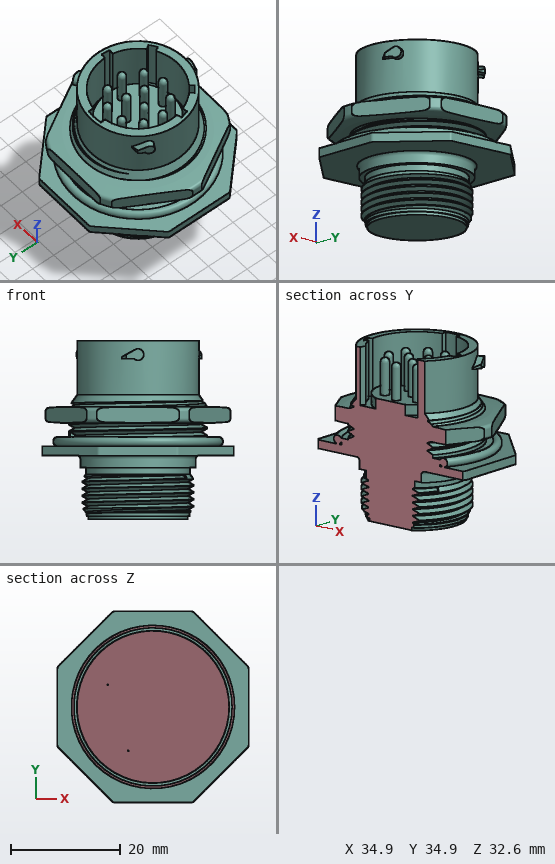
import cadquery as cq
import math


TAIL_TOP_Z = 0.57
REAR_THREAD_START_Z = 1.15
REAR_THREAD_END_Z = 8.2
COLLAR_Z = 9.42
FLANGE_Z = 11.6
FLANGE_THICKNESS = 1.73
FLANGE_TOP_Z = FLANGE_Z + FLANGE_THICKNESS
SHELL_CONE_TOP_Z = 22.66
RIM_Z = 32.55

TAIL_RADIUS = 9.08
REAR_LAND_RADIUS = 9.39
REAR_THREAD_RADIUS = 10.2
REAR_LEAD_IN_LENGTH = 1.0
NECK_RADIUS = 9.51
COLLAR_RADIUS = 10.54
COLLAR_FLARE_RADIUS = 0.75
COLLAR_FLARE_HEIGHT = 0.66

FLANGE_SIDES = 8
FLANGE_ACROSS_FLATS = 34.9
FLANGE_CORNER_RADIUS = 0.7

SEAT_RADIUS = 13.9
SEAT_TOP_Z = 14.6
RING_OUTER_RADIUS = 15.5
RING_SECTION_RADIUS = 0.86
RING_SINK = 0.03

PANEL_THREAD_RADIUS = 12.62
SHELL_RADIUS = 11.12
SHELL_CONE_SLOPE = 0.7

GROOVE_HALF_ANGLE = 30
GROOVE_OVERSHOOT = 0.05
REAR_PITCH = 1.27
REAR_GROOVE_DEPTH = 1.02
REAR_GROOVE_START_Z = 0.946
REAR_GROOVE_START_ANGLE = 135
REAR_GROOVE_TURNS = 5.55
PANEL_PITCH = 1.4
PANEL_GROOVE_DEPTH = 1.06
PANEL_GROOVE_START_Z = 15.27
PANEL_GROOVE_START_ANGLE = 193
PANEL_GROOVE_TURNS = 5.2

NUT_CENTRE_Z = 19.02
NUT_SIDES = 6
NUT_ACROSS_FLATS = 30.24
NUT_FACE_RADIUS = 13.85
NUT_FACE_HALF_HEIGHT = 1.5
NUT_SHOULDER_RADIUS = 16.2
NUT_SHOULDER_HALF_HEIGHT = 1.33
NUT_CORNER_RADIUS = 16.87
NUT_CORNER_HALF_HEIGHT = 0.6
NUT_CORNER_ROUND = 0.72
NUT_BORE_RADIUS = 10.1

BORE_RADIUS = 9.35
INSERT_RADIUS = 8.33
INSERT_FACE_Z = RIM_Z - 9.0
INSERT_STEP = 2.0

KEYWAY_RADIUS = 10.36
MAIN_KEYWAY_WIDTH = 3.35
MINOR_KEYWAY_WIDTH = 1.75
MAIN_KEYWAY_ANGLE = 90
MINOR_KEYWAY_ANGLES = [-5, 195, 230, 305]

PIN_RADIUS = 0.83
PIN_TIP_ROUND = 0.82
PIN_TIP_BELOW_RIM = 2.0
OUTER_PIN_COUNT = 9
OUTER_PIN_CIRCLE_RADIUS = 5.92
OUTER_PIN_START_ANGLE = 270
INNER_PINS = [(1.43, 1.57), (-2.25, 0.41), (0.75, -2.13)]

LUG_COUNT = 3
LUG_Z = 30.0
LUG_HEAD_RADIUS = 1.05
LUG_OUTER_RADIUS = 12.4
LUG_INNER_RADIUS = 10.4
LUG_RAMP_ANGLE = 29
LUG_BASE_DROP = 0.73
LUG_END_X = -2.98
LUG_END_ANGLE = 30


def polar(radius, angle):
    return radius * math.cos(math.radians(angle)), radius * math.sin(math.radians(angle))


def make_body():
    """Turned body with the ring seat, without the flange and the thread grooves."""
    flare_width = COLLAR_FLARE_RADIUS - math.sqrt(COLLAR_FLARE_RADIUS**2 - COLLAR_FLARE_HEIGHT**2)
    cone_height = (PANEL_THREAD_RADIUS - SHELL_RADIUS) / SHELL_CONE_SLOPE
    return (
        cq.Workplane("XZ")
        .moveTo(0, 0)
        .lineTo(TAIL_RADIUS, 0)
        .lineTo(TAIL_RADIUS, TAIL_TOP_Z)
        .lineTo(REAR_LAND_RADIUS, TAIL_TOP_Z)
        .lineTo(REAR_LAND_RADIUS, REAR_THREAD_START_Z)
        .lineTo(REAR_THREAD_RADIUS, REAR_THREAD_START_Z + REAR_LEAD_IN_LENGTH)
        .lineTo(REAR_THREAD_RADIUS, REAR_THREAD_END_Z - REAR_LEAD_IN_LENGTH)
        .lineTo(NECK_RADIUS, REAR_THREAD_END_Z)
        .lineTo(NECK_RADIUS, COLLAR_Z)
        .lineTo(COLLAR_RADIUS, COLLAR_Z)
        .lineTo(COLLAR_RADIUS, FLANGE_Z - COLLAR_FLARE_HEIGHT)
        .radiusArc((COLLAR_RADIUS + flare_width, FLANGE_Z), COLLAR_FLARE_RADIUS)
        .lineTo(SEAT_RADIUS, FLANGE_Z)
        .lineTo(SEAT_RADIUS, SEAT_TOP_Z)
        .lineTo(PANEL_THREAD_RADIUS, SEAT_TOP_Z)
        .lineTo(PANEL_THREAD_RADIUS, SHELL_CONE_TOP_Z - cone_height)
        .lineTo(SHELL_RADIUS, SHELL_CONE_TOP_Z)
        .lineTo(SHELL_RADIUS, RIM_Z)
        .lineTo(0, RIM_Z)
        .close()
        .revolve(360, (0, 0, 0), (0, 1, 0))
    )


def make_groove(crest_radius, depth, pitch, start_z, start_angle, turns):
    """Right-handed helical V groove, to be cut from a cylinder of the crest radius."""
    root_radius = crest_radius - depth
    outside_radius = crest_radius + GROOVE_OVERSHOOT
    half_width = (depth + GROOVE_OVERSHOOT) * math.tan(math.radians(GROOVE_HALF_ANGLE))
    helix = cq.Wire.makeHelix(pitch, pitch * turns, crest_radius)
    return (
        cq.Workplane("XZ")
        .polyline([(root_radius, 0), (outside_radius, -half_width), (outside_radius, half_width)])
        .close()
        .sweep(cq.Workplane(obj=helix), isFrenet=True)
        .rotate((0, 0, 0), (0, 0, 1), start_angle)
        .translate((0, 0, start_z))
    )


def make_flange():
    octagon_diameter = FLANGE_ACROSS_FLATS / math.cos(math.pi / FLANGE_SIDES)
    return (
        cq.Workplane("XY")
        .workplane(offset=FLANGE_Z)
        .transformed(rotate=(0, 0, 180 / FLANGE_SIDES))
        .polygon(FLANGE_SIDES, octagon_diameter)
        .extrude(FLANGE_THICKNESS)
        .edges("|Z")
        .fillet(FLANGE_CORNER_RADIUS)
    )


def make_sealing_ring():
    centre_radius = RING_OUTER_RADIUS - RING_SECTION_RADIUS
    return (
        cq.Workplane("XZ")
        .center(centre_radius, FLANGE_TOP_Z + RING_SECTION_RADIUS - RING_SINK)
        .circle(RING_SECTION_RADIUS)
        .revolve(360, (-centre_radius, 0, 0), (-centre_radius, 1, 0))
    )


def make_nut():
    """Hexagon with coned faces and rounded corners, filled up to the shell inside."""
    turned = (
        cq.Workplane("XZ")
        .moveTo(0, -NUT_FACE_HALF_HEIGHT)
        .lineTo(NUT_FACE_RADIUS, -NUT_FACE_HALF_HEIGHT)
        .lineTo(NUT_SHOULDER_RADIUS, -NUT_SHOULDER_HALF_HEIGHT)
        .radiusArc((NUT_CORNER_RADIUS, -NUT_CORNER_HALF_HEIGHT), -NUT_CORNER_ROUND)
        .lineTo(NUT_CORNER_RADIUS, NUT_CORNER_HALF_HEIGHT)
        .radiusArc((NUT_SHOULDER_RADIUS, NUT_SHOULDER_HALF_HEIGHT), -NUT_CORNER_ROUND)
        .lineTo(NUT_FACE_RADIUS, NUT_FACE_HALF_HEIGHT)
        .lineTo(0, NUT_FACE_HALF_HEIGHT)
        .close()
        .revolve(360, (0, 0, 0), (0, 1, 0))
    )
    hexagon = (
        cq.Workplane("XY")
        .polygon(NUT_SIDES, NUT_ACROSS_FLATS / math.cos(math.pi / NUT_SIDES))
        .extrude(NUT_FACE_HALF_HEIGHT, both=True)
    )
    bore = cq.Workplane("XY").circle(NUT_BORE_RADIUS).extrude(NUT_FACE_HALF_HEIGHT, both=True)
    return turned.intersect(hexagon).cut(bore).translate((0, 0, NUT_CENTRE_Z))


def make_socket():
    """Cavity of the mating end: bore, gap around the insert, and keyways."""
    gap_floor_z = INSERT_FACE_Z - INSERT_STEP
    depth = RIM_Z - gap_floor_z
    base = cq.Workplane("XY").workplane(offset=gap_floor_z)
    keyway_limit = base.circle(KEYWAY_RADIUS).extrude(depth)
    socket = base.circle(BORE_RADIUS).extrude(depth)
    keyways = [(MAIN_KEYWAY_ANGLE, MAIN_KEYWAY_WIDTH)]
    keyways += [(angle, MINOR_KEYWAY_WIDTH) for angle in MINOR_KEYWAY_ANGLES]
    for angle, width in keyways:
        slot = (
            base.rect(SHELL_RADIUS, width, centered=(False, True))
            .extrude(depth)
            .rotate((0, 0, 0), (0, 0, 1), angle)
        )
        socket = socket.union(slot)
    insert = base.circle(INSERT_RADIUS).extrude(INSERT_STEP)
    return socket.intersect(keyway_limit).cut(insert)


def make_pins():
    spacing = 360 / OUTER_PIN_COUNT
    outer_pins = [
        polar(OUTER_PIN_CIRCLE_RADIUS, OUTER_PIN_START_ANGLE + i * spacing) for i in range(OUTER_PIN_COUNT)
    ]
    root_z = INSERT_FACE_Z - INSERT_STEP
    return (
        cq.Workplane("XY")
        .workplane(offset=root_z)
        .pushPoints(outer_pins + INNER_PINS)
        .circle(PIN_RADIUS)
        .extrude(RIM_Z - PIN_TIP_BELOW_RIM - root_z)
        .faces(">Z")
        .edges()
        .fillet(PIN_TIP_ROUND)
    )


def make_lug():
    """Round-headed bayonet lug on the -Y side with a ramped tail toward -X."""
    reach = LUG_OUTER_RADIUS - LUG_INNER_RADIUS
    plane = cq.Workplane("XZ", origin=(0, -LUG_INNER_RADIUS, LUG_Z))
    tangent_x, tangent_z = polar(LUG_HEAD_RADIUS, 90 + LUG_RAMP_ANGLE)
    tip_x = tangent_x - (tangent_z + LUG_BASE_DROP) / math.tan(math.radians(LUG_RAMP_ANGLE))
    tail = (
        plane.polyline([(0, 0), (tangent_x, tangent_z), (tip_x, -LUG_BASE_DROP), (0, -LUG_BASE_DROP)])
        .close()
        .extrude(reach)
    )
    head = plane.circle(LUG_HEAD_RADIUS).extrude(reach)
    lug = head.union(tail)

    block_size = 2 * LUG_OUTER_RADIUS
    end_y = -math.sqrt(SHELL_RADIUS**2 - LUG_END_X**2)
    kept_side = (
        cq.Workplane("XY")
        .box(block_size, block_size, block_size, centered=(False, True, True))
        .rotate((0, 0, 0), (0, 0, 1), LUG_END_ANGLE)
        .translate((LUG_END_X, end_y, LUG_Z))
    )
    outer_limit = (
        cq.Workplane("XY")
        .workplane(offset=LUG_Z)
        .circle(LUG_OUTER_RADIUS)
        .extrude(block_size / 2, both=True)
    )
    return lug.intersect(kept_side).intersect(outer_limit)


rear_groove = make_groove(
    REAR_THREAD_RADIUS,
    REAR_GROOVE_DEPTH,
    REAR_PITCH,
    REAR_GROOVE_START_Z,
    REAR_GROOVE_START_ANGLE,
    REAR_GROOVE_TURNS,
)
panel_groove = make_groove(
    PANEL_THREAD_RADIUS,
    PANEL_GROOVE_DEPTH,
    PANEL_PITCH,
    PANEL_GROOVE_START_Z,
    PANEL_GROOVE_START_ANGLE,
    PANEL_GROOVE_TURNS,
)

result = make_body().union(make_flange()).union(make_sealing_ring())
lug = make_lug()
for i in range(LUG_COUNT):
    result = result.union(lug.rotate((0, 0, 0), (0, 0, 1), i * 360 / LUG_COUNT))
result = result.cut(make_socket()).union(make_pins())
result = result.cut(rear_groove, clean=False).cut(panel_groove, clean=False)
result = result.union(make_nut(), clean=False)